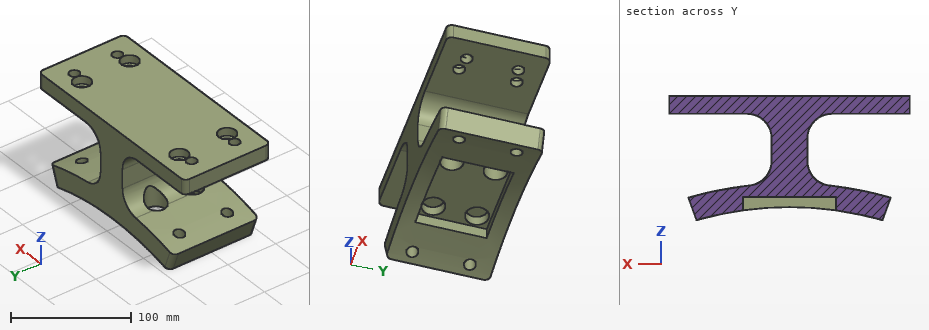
import cadquery as cq
import math

plate_length = 200.0
width = 90.0
plate_thickness = 15.0
corner_radius = 5.0

web_thickness = 30.0
web_fillet = 20.0

saddle_inner_radius = 280.0
saddle_thickness = 20.0
saddle_outer_radius = saddle_inner_radius + saddle_thickness
overall_height = 103.5
saddle_bottom_half_span = 77.5
saddle_end_slope = math.radians(20)

screw_x = 66.5
screw_y = 25.0
screw_diameter = 10.0
counterbore_diameter = 17.0
counterbore_depth = 8.0

plate_hole_x = 80.0
plate_hole_y = width / 4
plate_hole_diameter = 10.0

web_hole_x = 26.5
web_hole_y = 19.0
web_hole_diameter = 20.0

recess_roof_z = -84.2
recess_margin = 2.0
recess_length = 2 * (web_hole_x + recess_margin) + web_hole_diameter
recess_width = 2 * (web_hole_y + recess_margin) + web_hole_diameter

saddle_center_z = -overall_height - math.sqrt(saddle_inner_radius**2 - saddle_bottom_half_span**2)
saddle_inner_crown_z = saddle_center_z + saddle_inner_radius
saddle_outer_crown_z = saddle_center_z + saddle_outer_radius


def saddle_outer_corner():
    """Point where the sloping end face meets the saddle's outer arc."""
    run = math.sin(saddle_end_slope)
    rise = math.cos(saddle_end_slope)
    along = saddle_bottom_half_span * run + (-overall_height - saddle_center_z) * rise
    growth = saddle_outer_radius**2 - saddle_inner_radius**2
    end_length = math.sqrt(along**2 + growth) - along
    return saddle_bottom_half_span + end_length * run, -overall_height + end_length * rise


def make_plate():
    plate = cq.Workplane("XY").box(plate_length, width, plate_thickness, centered=(True, True, False))
    return plate.edges("|Z").fillet(corner_radius).translate((0, 0, -plate_thickness))


def make_saddle():
    outer_x, outer_z = saddle_outer_corner()
    saddle = (
        cq.Workplane("XZ")
        .moveTo(-saddle_bottom_half_span, -overall_height)
        .threePointArc((0, saddle_inner_crown_z), (saddle_bottom_half_span, -overall_height))
        .lineTo(outer_x, outer_z)
        .threePointArc((0, saddle_outer_crown_z), (-outer_x, outer_z))
        .close()
        .extrude(width / 2, both=True)
    )
    end_edges = saddle.faces("<X or >X").edges("not |Y")
    return end_edges.fillet(corner_radius)


def make_web():
    """Web flared by fillets tangent to the plate and to the saddle's outer arc."""
    half_web = web_thickness / 2
    fillet_x = half_web + web_fillet
    upper_z = -plate_thickness - web_fillet
    center_distance = saddle_outer_radius + web_fillet
    lower_z = saddle_center_z + math.sqrt(center_distance**2 - fillet_x**2)
    tangent_ratio = saddle_outer_radius / center_distance
    tangent_x = fillet_x * tangent_ratio
    tangent_z = saddle_center_z + (lower_z - saddle_center_z) * tangent_ratio

    tangent_angle = math.atan2(tangent_z - lower_z, tangent_x - fillet_x)
    middle_angle = (tangent_angle - math.pi) / 2
    lower_middle_x = fillet_x + web_fillet * math.cos(middle_angle)
    lower_middle_z = lower_z + web_fillet * math.sin(middle_angle)
    upper_middle_x = fillet_x - web_fillet * math.sqrt(0.5)
    upper_middle_z = upper_z + web_fillet * math.sqrt(0.5)

    return (
        cq.Workplane("XZ")
        .moveTo(-fillet_x, -plate_thickness)
        .lineTo(fillet_x, -plate_thickness)
        .threePointArc((upper_middle_x, upper_middle_z), (half_web, upper_z))
        .lineTo(half_web, lower_z)
        .threePointArc((lower_middle_x, lower_middle_z), (tangent_x, tangent_z))
        .threePointArc((0, saddle_outer_crown_z), (-tangent_x, tangent_z))
        .threePointArc((-lower_middle_x, lower_middle_z), (-half_web, lower_z))
        .lineTo(-half_web, upper_z)
        .threePointArc((-upper_middle_x, upper_middle_z), (-fillet_x, -plate_thickness))
        .close()
        .extrude(width / 2, both=True)
    )


def four_holes(x, y, diameter, top_z, depth):
    """Vertical cylinders at (+-x, +-y), reaching down from top_z."""
    return (
        cq.Workplane("XY", origin=(0, 0, top_z))
        .rect(2 * x, 2 * y, forConstruction=True)
        .vertices()
        .circle(diameter / 2)
        .extrude(-depth)
    )


def make_recess():
    depth = recess_roof_z + overall_height
    recess = cq.Workplane("XY").box(recess_length, recess_width, depth, centered=(True, True, False))
    return recess.translate((0, 0, -overall_height))


body = make_plate().union(make_web()).union(make_saddle())

body = body.cut(four_holes(screw_x, screw_y, screw_diameter, 0, overall_height))
body = body.cut(four_holes(screw_x, screw_y, counterbore_diameter, 0, counterbore_depth))
body = body.cut(four_holes(plate_hole_x, plate_hole_y, plate_hole_diameter, 0, plate_thickness))

web_hole_top_z = -plate_thickness - web_fillet
web_hole_depth = overall_height + web_hole_top_z
body = body.cut(four_holes(web_hole_x, web_hole_y, web_hole_diameter, web_hole_top_z, web_hole_depth))
body = body.cut(make_recess())

result = body